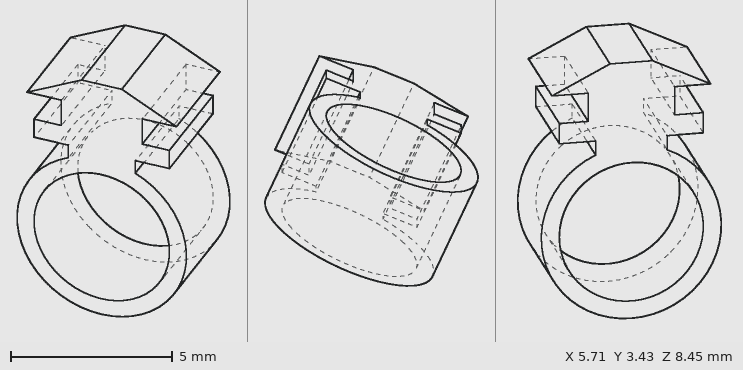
import cadquery as cq

total_height = 8.45
depth = 3.43

ring_outer_diameter = 5.71
ring_bore_diameter = 4.56

stem_width = 2.265
flange_width = ring_bore_diameter
neck_width = 2.74
barb_width = 5.04
tip_width = 1.35

barb_height = 0.91
neck_height = 0.93
flange_height = 0.67

tip_z = total_height - ring_outer_diameter / 2
barb_bottom_z = tip_z - barb_height
flange_top_z = barb_bottom_z - neck_height
flange_bottom_z = flange_top_z - flange_height


def back_plane():
    """XZ plane at the back (+Y) face; extrusions from it run toward -Y."""
    return cq.Workplane("XZ", origin=(0, depth / 2, 0))


def make_clip():
    """Stem, flange, neck and barbed head, mirrored about X = 0."""
    right_side = [
        (stem_width / 2, 0),
        (stem_width / 2, flange_bottom_z),
        (flange_width / 2, flange_bottom_z),
        (flange_width / 2, flange_top_z),
        (neck_width / 2, flange_top_z),
        (neck_width / 2, barb_bottom_z),
        (barb_width / 2, barb_bottom_z),
        (tip_width / 2, tip_z),
    ]
    left_side = [(-x, z) for x, z in reversed(right_side)]
    return back_plane().polyline(right_side + left_side).close().extrude(depth)


ring_body = back_plane().circle(ring_outer_diameter / 2).extrude(depth)
bore = back_plane().circle(ring_bore_diameter / 2).extrude(depth)

result = ring_body.union(make_clip()).cut(bore)